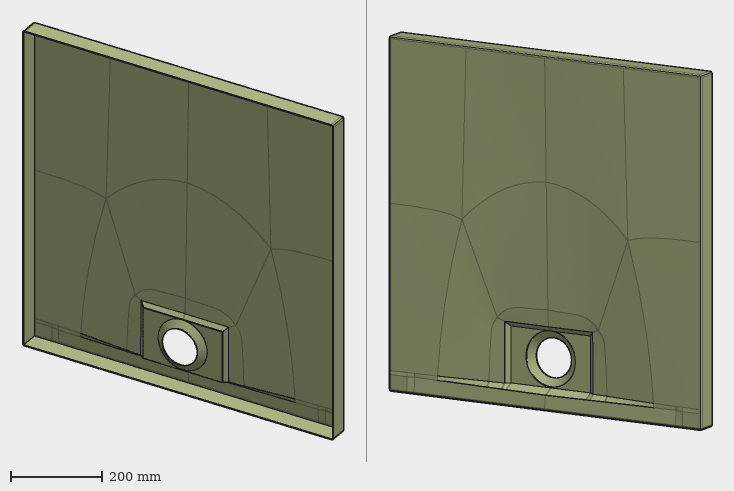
import cadquery as cq

SIDE = 800.0
DEPTH = 48.0
SKIN = 3.0
CORNER_RADIUS = 6.0
HALF = SIDE / 2
WALL_INNER = HALF - SKIN
PANEL_HALF = HALF - CORNER_RADIUS
RIM_Y = DEPTH / 2 - SKIN

BOSS_Y = -5.0
BOSS_HALF_WIDTH = 102.0
BOSS_TOP_Z = -224.0
BOSS_FLANK = 11.0
DECK_END_Z = -352.0
SHOULDER_HALF_WIDTH = BOSS_HALF_WIDTH + BOSS_FLANK
SHOULDER_TOP_Z = BOSS_TOP_Z + BOSS_FLANK

SPOUT_CENTRE_Z = -287.0
SPOUT_BASE_RADIUS = 63.0
DRAIN_RADIUS = 45.0
SPOUT_LENGTH = 13.0

STRIP_CENTRE_Z = -364.5
STRIP_END_Z = -361.0
STRIP_TOP_Y = 18.0
STRIP_FLAT_X = 334.0
STRIP_END_X = 352.0

TOP_CENTRE = (0, RIM_Y, PANEL_HALF)
TOP_FOLD = (201, RIM_Y, PANEL_HALF)
TOP_CORNER = (PANEL_HALF, RIM_Y, PANEL_HALF)
SIDE_FOLD_Z = 24.0
SIDE_FOLD = (PANEL_HALF, RIM_Y, SIDE_FOLD_Z)
SIDE_END = (PANEL_HALF, RIM_Y, DECK_END_Z)
FOLD_NODE = (212, 20, 8)
ARCH_CROWN = (0, 14.5, 114)
BASIN_CROWN = (0, 7, -174)
BASIN_CORNER = (129, 7.5, -206)
BASIN_END = (151, 6.5, DECK_END_Z)
FOLD_END = (276, 17, DECK_END_Z)
SHOULDER_CROWN = (0, 5, SHOULDER_TOP_Z)
SHOULDER_CORNER = (SHOULDER_HALF_WIDTH, 4.5, SHOULDER_TOP_Z)
SHOULDER_END = (SHOULDER_HALF_WIDTH, 3.5, DECK_END_Z)
BOSS_CROWN = (0, BOSS_Y, BOSS_TOP_Z)
BOSS_CORNER = (BOSS_HALF_WIDTH, BOSS_Y, BOSS_TOP_Z)
BOSS_END = (BOSS_HALF_WIDTH, BOSS_Y, DECK_END_Z)
BOSS_FOOT = (0, BOSS_Y, DECK_END_Z)

ARCH_POINTS = [(60, 15.5, 104.5), (116, 17, 82), (182, 19, 36)]
SIDE_FOLD_POINTS = [(260, 20.25, 19), (320, 20.6, 23.5)]
LOWER_FOLD_POINTS = [(240, 19, -100), (262, 18, -220)]
BASIN_TOP_POINTS = [(60, 7.1, -176), (100, 7.3, -183)]
BASIN_SIDE_POINTS = [(142, 7.2, -226), (147, 7, -270), (149.5, 6.7, -310)]


def line(start, end):
    return cq.Edge.makeLine(cq.Vector(*start), cq.Vector(*end))


def curve(*points):
    return cq.Edge.makeSpline([cq.Vector(*point) for point in points])


def thicken(face):
    """Give a face of the underside the skin thickness, towards the top of the tray."""
    return cq.Solid.extrudeLinear(face, cq.Vector(0, SKIN, 0))


def ruled(first, second):
    return thicken(cq.Face.makeRuledSurface(first, second))


def deck_panels():
    """Shallow panels of the +X half, falling from the rim towards the drain."""
    arch = curve(ARCH_CROWN, *ARCH_POINTS, FOLD_NODE)
    side_fold = curve(FOLD_NODE, *SIDE_FOLD_POINTS, SIDE_FOLD)
    lower_fold = curve(FOLD_NODE, *LOWER_FOLD_POINTS, FOLD_END)
    basin_top = curve(BASIN_CROWN, *BASIN_TOP_POINTS, BASIN_CORNER)
    basin_side = curve(BASIN_CORNER, *BASIN_SIDE_POINTS, BASIN_END)
    outer_edges = [side_fold, line(SIDE_FOLD, SIDE_END), line(SIDE_END, FOLD_END), lower_fold]
    return [
        ruled(arch, line(TOP_CENTRE, TOP_FOLD)),
        ruled(side_fold, line(TOP_FOLD, TOP_CORNER)),
        thicken(cq.Face.makeNSidedSurface(outer_edges, [])),
        ruled(arch, basin_top),
        ruled(lower_fold, basin_side),
        ruled(basin_top, line(SHOULDER_CROWN, SHOULDER_CORNER)),
        ruled(basin_side, line(SHOULDER_CORNER, SHOULDER_END)),
    ]


def boss_flanks():
    return [
        ruled(line(SHOULDER_CROWN, SHOULDER_CORNER), line(BOSS_CROWN, BOSS_CORNER)),
        ruled(line(SHOULDER_CORNER, SHOULDER_END), line(BOSS_CORNER, BOSS_END)),
    ]


def lower_strip():
    """Step at the lower end of the deck, and the strip running from it to the lower wall."""
    rise_slope = (RIM_Y - FOLD_END[1]) / (PANEL_HALF - FOLD_END[0])

    def deck_end_at(x):
        return (x, FOLD_END[1] + rise_slope * (x - FOLD_END[0]), DECK_END_Z)

    def strip_top_at(x):
        share = min(x / STRIP_FLAT_X, 1)
        z = STRIP_CENTRE_Z + share * (STRIP_END_Z - STRIP_CENTRE_Z)
        return (x, STRIP_TOP_Y if x <= STRIP_FLAT_X else RIM_Y, z)

    deck_ends = [
        BOSS_FOOT,
        BOSS_END,
        SHOULDER_END,
        BASIN_END,
        FOLD_END,
        deck_end_at(STRIP_FLAT_X),
        deck_end_at(STRIP_END_X),
        SIDE_END,
    ]
    strip_tops = [
        (0, STRIP_TOP_Y, STRIP_CENTRE_Z),
        (STRIP_FLAT_X, STRIP_TOP_Y, STRIP_END_Z),
        (STRIP_END_X, RIM_Y, STRIP_END_Z),
        (PANEL_HALF, RIM_Y, STRIP_END_Z),
    ]
    solids = []
    for near, far in zip(strip_tops, strip_tops[1:]):
        foot = line((near[0], RIM_Y, -PANEL_HALF), (far[0], RIM_Y, -PANEL_HALF))
        solids.append(ruled(line(near, far), foot))
    for near, far in zip(deck_ends, deck_ends[1:]):
        solids.append(ruled(line(near, far), line(strip_top_at(near[0]), strip_top_at(far[0]))))
    return solids


def boss_floor():
    height = BOSS_TOP_Z - DECK_END_Z
    plate = cq.Workplane("XY").box(2 * BOSS_HALF_WIDTH, SKIN, height)
    plate = plate.translate((0, BOSS_Y + SKIN / 2, (BOSS_TOP_Z + DECK_END_Z) / 2))
    opening = cq.Solid.makeCylinder(
        SPOUT_BASE_RADIUS, DEPTH, cq.Vector(0, -DEPTH / 2, SPOUT_CENTRE_Z), cq.Vector(0, 1, 0)
    )
    return plate.cut(cq.Workplane(opening)).val()


def spout():
    tip_y = BOSS_Y - SPOUT_LENGTH
    section = [
        (SPOUT_BASE_RADIUS, BOSS_Y),
        (DRAIN_RADIUS, tip_y),
        (DRAIN_RADIUS, tip_y + SKIN),
        (SPOUT_BASE_RADIUS, BOSS_Y + SKIN),
    ]
    ring = cq.Workplane("XY").polyline(section).close().revolve(360, (0, 0, 0), (0, 1, 0))
    return ring.translate((0, 0, SPOUT_CENTRE_Z)).val()


def rim():
    """Rounded outer wall with a narrow level ledge around the deck panels."""
    block = cq.Workplane("XY").box(SIDE, DEPTH, SIDE)
    block = block.edges("|Y").fillet(CORNER_RADIUS).faces(">Y").edges().fillet(CORNER_RADIUS)
    hollow = cq.Workplane("XY").box(2 * WALL_INNER, DEPTH, 2 * WALL_INNER).translate((0, -SKIN, 0))
    deck_opening = cq.Workplane("XY").box(2 * PANEL_HALF, DEPTH, 2 * PANEL_HALF)
    return block.cut(hollow).cut(deck_opening).val()


half_deck = deck_panels() + boss_flanks() + lower_strip()
mirrored_deck = [solid.mirror("YZ") for solid in half_deck]
tray = rim().fuse(*half_deck, *mirrored_deck, boss_floor(), spout())
result = cq.Workplane(tray.Solids()[0])